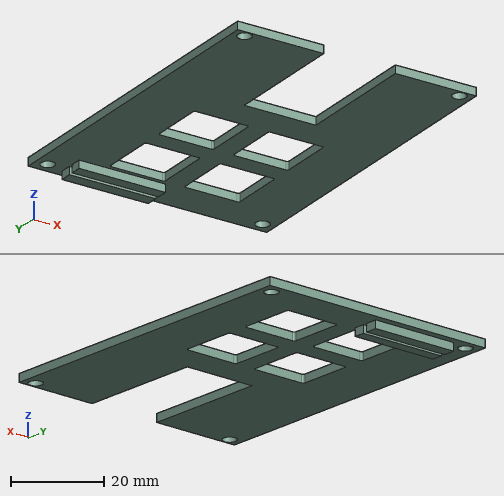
import cadquery as cq

plate_width = 61.0
plate_length = 82.0
plate_thickness = 2.05
total_height = 4.0

hole_diameter = 3.4
hole_side_margin = 3.0
hole_back_margin = 3.0
hole_front_margin = 2.0

opening_center_x = 0.65

window_size = 14.0
window_pitch = 19.1
window_corner_radius = 0.5
window_group_from_back = 26.1

slot_width = 18.3
slot_depth = 31.1

strip_left_margin = 7.5
strip_length = 22.05
outer_strip_from_back = 1.8
outer_strip_width = 2.95
inner_strip_from_back = 5.8
inner_strip_width = 2.7

left_x = -plate_width / 2
right_x = plate_width / 2
front_y = -plate_length / 2
back_y = plate_length / 2


def make_plate():
    return cq.Workplane("XY").rect(plate_width, plate_length).extrude(plate_thickness)


def make_screw_holes():
    centers = [
        (x, y)
        for x in (left_x + hole_side_margin, right_x - hole_side_margin)
        for y in (front_y + hole_front_margin, back_y - hole_back_margin)
    ]
    return cq.Workplane("XY").pushPoints(centers).circle(hole_diameter / 2).extrude(plate_thickness)


def make_windows():
    return (
        cq.Workplane("XY")
        .center(opening_center_x, back_y - window_group_from_back)
        .rarray(window_pitch, window_pitch, 2, 2)
        .rect(window_size, window_size)
        .extrude(plate_thickness)
        .edges("|Z")
        .fillet(window_corner_radius)
    )


def make_slot():
    return (
        cq.Workplane("XY")
        .center(opening_center_x, front_y + slot_depth / 2)
        .rect(slot_width, slot_depth)
        .extrude(plate_thickness)
    )


def make_strip(distance_from_back, width):
    center_x = left_x + strip_left_margin + strip_length / 2
    center_y = back_y - distance_from_back - width / 2
    strip_height = total_height - plate_thickness
    return (
        cq.Workplane("XY")
        .center(center_x, center_y)
        .rect(strip_length, width)
        .extrude(-strip_height)
    )


result = (
    make_plate()
    .cut(make_screw_holes())
    .cut(make_windows())
    .cut(make_slot())
    .union(make_strip(outer_strip_from_back, outer_strip_width))
    .union(make_strip(inner_strip_from_back, inner_strip_width))
)